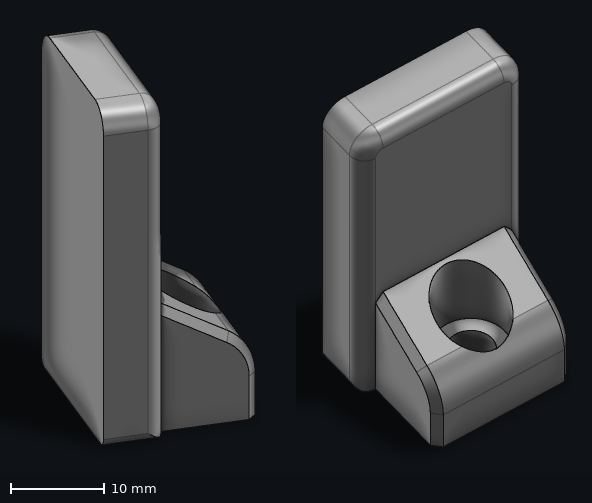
import cadquery as cq
import math

plate_width = 22
plate_height = 40
plate_thickness = 7.0
top_corner_radius = 3.0
bottom_corner_radius = 1.0
back_edge_radius = 2

foot_width = 18
foot_back = 18
foot_height_at_plate = 15.0
foot_slope = math.radians(30)
foot_round_radius = 6
foot_chamfer = 1.0

hole_y = 12
hole_diameter = 5.5
counterbore_diameter = 9.0
counterbore_floor = 5.0


def make_plate():
    """Upright plate, rounded along the back of its sides and top."""
    body = cq.Workplane("XY").box(
        plate_width, plate_thickness, plate_height, centered=(True, False, False)
    )
    body = body.edges("|Y and >Z").fillet(top_corner_radius)
    back_edges = body.faces(">Y").edges("not(<Z)")
    body = back_edges.fillet(back_edge_radius)
    corner_outline = (
        cq.Workplane("XY")
        .box(plate_width, plate_thickness, plate_height, centered=(True, False, False))
        .edges("|Y and <Z")
        .fillet(bottom_corner_radius)
    )
    return body.intersect(corner_outline)


def make_foot():
    """Foot with a sloping top that rounds into its back, chamfered on both sides."""
    plate_middle = plate_thickness / 2
    slope_rise = math.tan(foot_slope)
    front_height = foot_height_at_plate + (plate_thickness - plate_middle) * slope_rise

    round_center_y = foot_back - foot_round_radius
    slope_height_at_center = foot_height_at_plate - (round_center_y - plate_thickness) * slope_rise
    round_center_z = slope_height_at_center - foot_round_radius / math.cos(foot_slope)

    def round_point(angle):
        return (
            round_center_y + foot_round_radius * math.cos(angle),
            round_center_z + foot_round_radius * math.sin(angle),
        )

    slope_normal = math.pi / 2 - foot_slope
    body = (
        cq.Workplane("YZ")
        .moveTo(plate_middle, 0)
        .lineTo(foot_back, 0)
        .lineTo(*round_point(0))
        .threePointArc(round_point(slope_normal / 2), round_point(slope_normal))
        .lineTo(plate_middle, front_height)
        .close()
        .extrude(foot_width / 2, both=True)
    )
    side_edges = body.faces("<X or >X").edges("not(<Y or <Z)")
    return side_edges.chamfer(foot_chamfer)


def make_screw_hole():
    """Through hole with a counterbore open to the sloping top."""
    floor = cq.Workplane("XY").center(0, hole_y)
    through_hole = floor.circle(hole_diameter / 2).extrude(plate_height)
    counterbore = (
        floor.workplane(offset=counterbore_floor)
        .circle(counterbore_diameter / 2)
        .extrude(plate_height)
    )
    return through_hole.union(counterbore)


result = make_plate().union(make_foot()).cut(make_screw_hole())